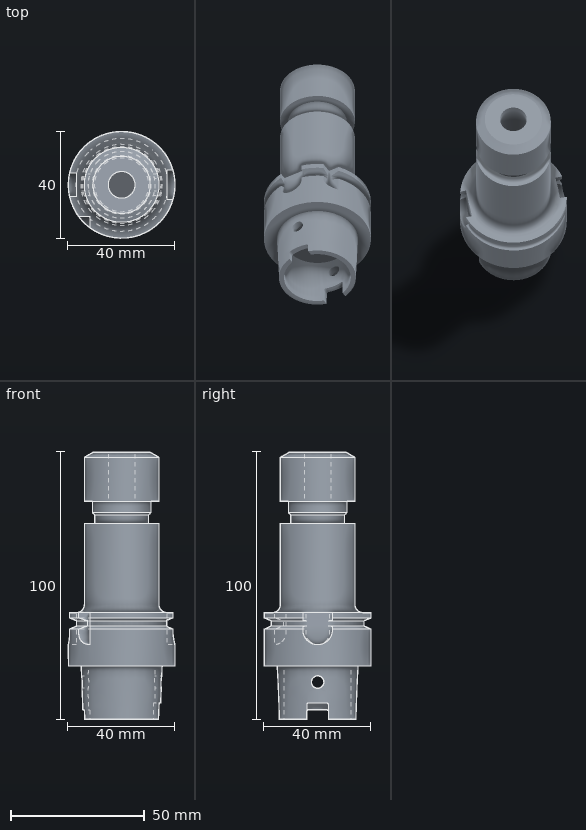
import cadquery as cq

total_height = 100.0
shank_height = 20.0
flange_top = 40.0
body_top = 73.4
neck_top = 76.5
collar_bottom = 77.4
nut_bottom = 81.6
nut_chamfer_height = 1.9

shank_bottom_radius = 14.4
shank_top_radius = 15.2
flange_radius = 20.0
body_radius = 14.0
root_fillet = 3.0
neck_radius = 10.1
collar_radius = 11.0
nut_radius = 14.0
nut_face_radius = 10.7

shank_bore_radius = 12.5

groove_radius = 17.4
groove_lower_edge = 33.8
groove_floor_bottom = 35.0
groove_floor_top = 36.9
groove_upper_edge = 38.0

bore_radius = 5.0

keyway_floor = 16.9
keyway_bottom = 28.0
left_keyway_width = 8.8
right_keyway_width = 11.1

notch_wall = 11.9
notch_radius = 4.4

cross_hole_radius = 2.3
cross_hole_height = 14.0
drive_slot_width = 8.1
left_drive_slot_height = 3.6
right_drive_slot_height = 6.2
drive_slot_corner = 0.7


def turned_body():
    """Revolved outline of the shank, flange, body, neck, collar and nut."""
    fillet_centre = (body_radius + root_fillet, flange_top + root_fillet)
    fillet_offset = root_fillet * 0.5 ** 0.5
    fillet_middle = (fillet_centre[0] - fillet_offset, fillet_centre[1] - fillet_offset)
    outline = (
        cq.Workplane("XZ")
        .moveTo(0, 0)
        .lineTo(shank_bottom_radius, 0)
        .lineTo(shank_top_radius, shank_height)
        .lineTo(flange_radius, shank_height)
        .lineTo(flange_radius, groove_lower_edge)
        .lineTo(groove_radius, groove_floor_bottom)
        .lineTo(groove_radius, groove_floor_top)
        .lineTo(flange_radius, groove_upper_edge)
        .lineTo(flange_radius, flange_top)
        .lineTo(fillet_centre[0], flange_top)
        .threePointArc(fillet_middle, (body_radius, fillet_centre[1]))
        .lineTo(body_radius, body_top)
        .lineTo(neck_radius, body_top)
        .lineTo(neck_radius, neck_top)
        .lineTo(collar_radius, collar_bottom)
        .lineTo(collar_radius, nut_bottom)
        .lineTo(nut_radius, nut_bottom)
        .lineTo(nut_radius, total_height - nut_chamfer_height)
        .lineTo(nut_face_radius, total_height)
        .lineTo(0, total_height)
        .close()
    )
    return outline.revolve(360, (0, 0), (0, 1))


def round_bottom_cutter(x_start, x_end, centre_y, width):
    """Slot along X, open at the flange top and ending in a half round."""
    radius = width / 2
    centre_z = keyway_bottom + radius
    return (
        cq.Workplane("YZ", origin=(x_start, 0, 0))
        .moveTo(centre_y - radius, flange_top)
        .lineTo(centre_y - radius, centre_z)
        .threePointArc((centre_y, keyway_bottom), (centre_y + radius, centre_z))
        .lineTo(centre_y + radius, flange_top)
        .close()
        .extrude(x_end - x_start)
    )


def drive_slot_cutter(side, height):
    """Slot from the axis out through the shank wall; side is -1 or 1 along X."""
    return (
        cq.Workplane("XY")
        .center(side * flange_radius / 2, 0)
        .rect(flange_radius, drive_slot_width)
        .extrude(height)
        .edges("|X and >Z")
        .fillet(drive_slot_corner)
    )


bore = (
    cq.Workplane("XY", origin=(0, 0, nut_bottom))
    .circle(bore_radius)
    .extrude(total_height - nut_bottom)
)
shank_bore = cq.Workplane("XY").circle(shank_bore_radius).extrude(shank_height)
cross_hole = (
    cq.Workplane("YZ", origin=(-flange_radius, 0, 0))
    .center(0, cross_hole_height)
    .circle(cross_hole_radius)
    .extrude(2 * flange_radius)
)
left_keyway = round_bottom_cutter(-flange_radius, -keyway_floor, 0, left_keyway_width)
right_keyway = round_bottom_cutter(keyway_floor, flange_radius, 0, right_keyway_width)
notch = round_bottom_cutter(
    -flange_radius, -notch_wall, -notch_wall - notch_radius, 2 * notch_radius
)

result = turned_body().cut(bore).cut(shank_bore).cut(cross_hole)
result = result.cut(left_keyway).cut(right_keyway).cut(notch)
result = result.cut(drive_slot_cutter(-1, left_drive_slot_height))
result = result.cut(drive_slot_cutter(1, right_drive_slot_height))